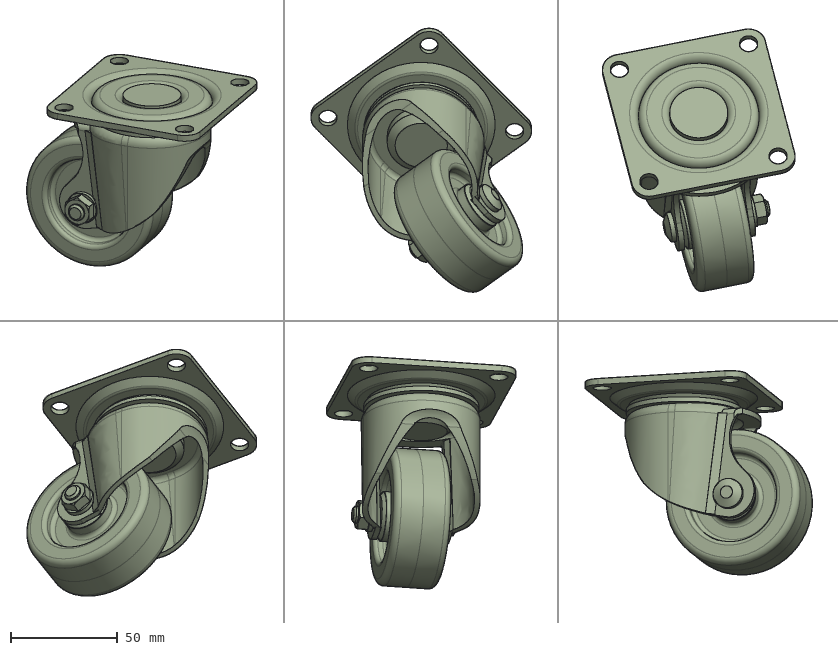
import cadquery as cq
import math

plate_side = 78.0
plate_thickness = 3.0
plate_corner_radius = 8.1
bolt_hole_pitch = 62.1
bolt_hole_diameter = 8.5
groove_outer_radius = 32.4
groove_radius = 28.3
groove_inner_radius = 24.4
hole_lip_radius = 3.6
dish_top_radius = 34.6
dish_bottom_radius = 30.5
dish_bottom = -6.2
dish_edge_radius = 2.0

pin_radius = 13.6
cone_top_radius = 25.6
cone_bottom_radius = 24.3
flange_radius = 27.0
flange_top = -8.3
flange_thickness = 2.2
pin_head_radius = 16.0
pin_head_shoulder = -18.0
pin_head_end_radius = 12.2
pin_head_end = -21.0

sheet = 2.7
drum_radius = 27.6
drum_edge_radius = 5.1
drum_front_x = -3.5
drum_front_foot_x = -0.3
drum_front_foot_depth = 23.9
drum_height = 53.2
channel_half_width = 18.3
channel_top = -12.9
channel_edge_radius = 3.1
blend_reach = 2.0
lip_underside = -16.0
lip_tip_x = -36.2
lip_end_x = -32.8
lip_side_x = -29.55
lip_trim_bottom = -18.7
boss_radius = 12.2
boss_rise = 1.2

axle_x = -27.0
axle_z = -54.5
wheel_radius = 32.5
wheel_width = 27.2
tread_edge_radius = 3.2
recess_radius = 21.4
recess_rim_radius = 2.1
recess_floor_fillet = 2.0
recess_depth = 6.4
hub_radius = 11.7
hub_chamfer = 2.0
hub_half_length = 15.3

bolt_radius = 4.0
bolt_end_chamfer = 1.1
bolt_end = 27.5
head_radius = 7.0
head_thickness = 2.3
dome_height = 2.1
dome_top_radius = 3.0
washer_radius = 7.5
washer_thickness = 2.1
nut_across_flats = 12.3
nut_height = 5.1
nut_bevel = 0.6

flange_bottom = flange_top - flange_thickness
roof_top = flange_bottom
roof_underside = roof_top - sheet
half_wheel = wheel_width / 2
boss_z = axle_z + boss_rise
washer_face = channel_half_width + washer_thickness
drum_foot = roof_top - drum_height
channel_length = drum_radius - axle_x


def turned(points):
    """Solid of revolution about the Z axis through (radius, z) points."""
    return cq.Workplane("XZ").polyline(points).close().revolve(360, (0, 0, 0), (0, 1, 0))


def rounded_edge_cut(wall_radius, size, top=0):
    """Ring that rounds an upper edge at wall_radius; the rounding reaches inward if size is negative."""
    flat_radius = wall_radius + size
    depth = abs(size)
    middle = (flat_radius - size * math.sin(math.pi / 4), top - depth * (1 - math.cos(math.pi / 4)))
    return (
        cq.Workplane("XZ").moveTo(flat_radius, top)
        .threePointArc(middle, (wall_radius, top - depth))
        .lineTo(wall_radius, top).close()
        .revolve(360, (0, 0, 0), (0, 1, 0))
    )


def onto_axle(body):
    """Move a body built around the Z axis onto the wheel axle, its +Z end toward -Y."""
    return body.rotate((0, 0, 0), (1, 0, 0), 90).translate((axle_x, 0, axle_z))


def make_plate():
    square = (
        cq.Workplane("XY").rect(plate_side, plate_side).extrude(-plate_thickness)
        .edges("|Z").fillet(plate_corner_radius)
    )
    dish = turned([
        (0, -plate_thickness),
        (dish_top_radius, -plate_thickness),
        (dish_bottom_radius, dish_bottom),
        (0, dish_bottom),
    ]).faces("<Z").edges().fillet(dish_edge_radius)
    bolt_holes = (
        cq.Workplane("XY").rect(bolt_hole_pitch, bolt_hole_pitch, forConstruction=True)
        .vertices().circle(bolt_hole_diameter / 2).extrude(-plate_thickness)
    )
    pin_hole = cq.Workplane("XY").circle(pin_radius).extrude(dish_bottom)
    return (
        square.union(dish).cut(bolt_holes).cut(pin_hole)
        .cut(rounded_edge_cut(groove_radius, groove_outer_radius - groove_radius))
        .cut(rounded_edge_cut(groove_radius, groove_inner_radius - groove_radius))
        .cut(rounded_edge_cut(pin_radius, hole_lip_radius))
    )


def make_swivel():
    return turned([
        (0, 0),
        (pin_radius, 0),
        (pin_radius, dish_bottom),
        (cone_top_radius, dish_bottom),
        (cone_bottom_radius, flange_top),
        (flange_radius, flange_top),
        (flange_radius, flange_bottom),
        (pin_radius, flange_bottom),
        (pin_radius, roof_underside),
        (pin_head_radius, roof_underside),
        (pin_head_radius, pin_head_shoulder),
        (pin_head_end_radius, pin_head_end),
        (0, pin_head_end),
    ])


def half_ellipse_x(front_x, depth, radius, y):
    """X on the drum's front curve at the given y."""
    return front_x - depth * math.sqrt(1 - (y / radius) ** 2)


def drum_section(height, front_x, depth, radius):
    """Closed outline: half circle at the back, half ellipse reaching depth forward of front_x."""
    back = cq.Edge.makeThreePointArc(
        cq.Vector(0, -radius, height), cq.Vector(radius, 0, height), cq.Vector(0, radius, height)
    )
    front = cq.Edge.makeEllipse(
        radius, depth, cq.Vector(front_x, 0, height), cq.Vector(0, 0, 1), cq.Vector(0, 1, 0), 0, 180
    )
    left, right = [
        cq.Edge.makeLine(cq.Vector(0, y, height), cq.Vector(front_x, y, height)) for y in (radius, -radius)
    ]
    return cq.Wire.assembleEdges([back, left, front, right])


def drum(inset):
    """Drum of the fork, its walls and roof moved inward by inset."""
    radius = drum_radius - inset
    body = cq.Solid.makeLoft([
        drum_section(roof_top - inset, drum_front_x, radius, radius),
        drum_section(drum_foot, drum_front_foot_x, drum_front_foot_depth - inset, radius),
    ], True)
    return cq.Workplane(body).faces(">Z").edges().fillet(drum_edge_radius - inset)


def channel(inset):
    """Inverted channel that carries the side plates, its faces moved inward by inset."""
    width = 2 * (channel_half_width - inset)
    return (
        cq.Workplane("XY", origin=(0, 0, channel_top - inset))
        .box(channel_length, width, drum_height, centered=(False, True, False))
        .translate((-channel_length, 0, -drum_height))
        .edges("|X and >Z").fillet(channel_edge_radius - inset)
    )


def blend(inset, side):
    """Wedge that softens the hollow corner between a side plate and the drum's front curve."""
    radius = drum_radius - inset
    plate_y = channel_half_width - inset

    def section(height, front_x, depth):
        corner_x = half_ellipse_x(front_x, depth, radius, plate_y)
        drum_x = corner_x + blend_reach
        drum_y = radius * math.sqrt(1 - ((front_x - drum_x) / depth) ** 2)
        return cq.Wire.makePolygon([
            cq.Vector(corner_x - blend_reach, side * plate_y, height),
            cq.Vector(drum_x, side * drum_y, height),
            cq.Vector(drum_x, side * (plate_y - sheet / 2), height),
            cq.Vector(corner_x - blend_reach, side * (plate_y - sheet / 2), height),
        ], close=True)

    return cq.Workplane(cq.Solid.makeLoft([
        section(roof_top - drum_edge_radius, drum_front_x, radius),
        section(drum_foot, drum_front_foot_x, drum_front_foot_depth - inset),
    ], True))


def fork_block(inset):
    """Solid envelope of the fork, before the side outline trims it."""
    return drum(inset).union(channel(inset)).union(blend(inset, 1)).union(blend(inset, -1))


def side_outline():
    """Prism with the fork's outline as seen along the axle."""
    neck = (-32.8, -41.7)
    boss_start_x = -35.5
    boss_start_z = boss_z + math.sqrt(boss_radius**2 - (boss_start_x - axle_x) ** 2)
    return (
        cq.Workplane("XZ")
        .moveTo(lip_tip_x, roof_top)
        .lineTo(lip_tip_x, lip_underside)
        .lineTo(-30.9, lip_underside)
        .threePointArc((-27.2, -27.4), neck)
        .lineTo(boss_start_x, boss_start_z)
        .threePointArc((axle_x - boss_radius, boss_z), (axle_x, boss_z - boss_radius))
        .lineTo(-17.3, drum_foot)
        .threePointArc((0.8, -57.7), (12.9, -48.1))
        .threePointArc((19.3, -37.4), (23.6, -26.6))
        .threePointArc((25.1, -22.9), (drum_radius, -19.9))
        .lineTo(drum_radius, roof_top)
        .close()
        .extrude(drum_radius, both=True)
    )


def lip_trim():
    """Material in front of the lip's bowed edge."""
    end_y = channel_half_width - channel_edge_radius
    front = lip_tip_x - 1
    return (
        cq.Workplane("XY", origin=(0, 0, roof_top))
        .moveTo(front, -channel_half_width).lineTo(lip_side_x, -channel_half_width)
        .lineTo(lip_end_x, -end_y)
        .threePointArc((lip_tip_x, 0), (lip_end_x, end_y))
        .lineTo(lip_side_x, channel_half_width).lineTo(front, channel_half_width)
        .close().extrude(lip_trim_bottom - roof_top)
    )


def make_fork():
    bolt_hole = onto_axle(cq.Workplane("XY").circle(bolt_radius).extrude(drum_radius, both=True))
    washer_seats = onto_axle(
        cq.Workplane("XY").circle(washer_radius).extrude(drum_radius, both=True)
        .cut(cq.Workplane("XY").circle(washer_radius).extrude(channel_half_width, both=True))
    )
    pin_hole = cq.Workplane("XY", origin=(0, 0, roof_top)).circle(pin_radius).extrude(-sheet)
    return (
        fork_block(0).cut(fork_block(sheet))
        .intersect(side_outline()).cut(lip_trim()).cut(bolt_hole).cut(washer_seats).cut(pin_hole)
    )


def make_wheel():
    recess_floor = half_wheel - recess_depth
    recess = (
        cq.Workplane("XY", origin=(0, 0, recess_floor))
        .circle(recess_radius).circle(hub_radius).extrude(recess_depth)
        .faces("<Z").edges().fillet(recess_floor_fillet)
        .union(rounded_edge_cut(recess_radius, recess_rim_radius, half_wheel))
    )
    hub = (
        cq.Workplane("XY").circle(hub_radius).extrude(hub_half_length, both=True)
        .faces("<Z or >Z").edges().chamfer(hub_chamfer)
    )
    blank = (
        cq.Workplane("XY").circle(wheel_radius).extrude(half_wheel, both=True)
        .faces("<Z or >Z").edges().fillet(tread_edge_radius)
    )
    bore = cq.Workplane("XY").circle(bolt_radius).extrude(hub_half_length, both=True)
    return onto_axle(
        blank.cut(recess).cut(recess.mirror("XY")).union(hub).cut(bore)
    )


def make_axle():
    head_face = -channel_half_width - head_thickness
    shaft = turned([
        (0, bolt_end),
        (bolt_radius - bolt_end_chamfer, bolt_end),
        (bolt_radius, bolt_end - bolt_end_chamfer),
        (bolt_radius, washer_face),
        (washer_radius, washer_face),
        (washer_radius, channel_half_width),
        (bolt_radius, channel_half_width),
        (bolt_radius, -channel_half_width),
        (head_radius, -channel_half_width),
        (head_radius, head_face),
        (dome_top_radius, head_face - dome_height),
        (0, head_face - dome_height),
    ])
    corner_radius = nut_across_flats / math.sqrt(3)
    nut_top = washer_face + nut_height
    bevel_cone = turned([
        (0, washer_face),
        (corner_radius, washer_face),
        (corner_radius, nut_top - nut_bevel),
        (nut_across_flats / 2, nut_top),
        (0, nut_top),
    ])
    nut = (
        cq.Workplane("XY", origin=(0, 0, washer_face))
        .polygon(6, 2 * corner_radius).extrude(nut_height)
        .rotate((0, 0, 0), (0, 0, 1), 30)
        .intersect(bevel_cone)
    )
    return onto_axle(shaft.union(nut))


plate = make_plate()
swivel = make_swivel()
fork = make_fork()
wheel = make_wheel()
axle = make_axle()

result = cq.Compound.makeCompound([plate.val(), swivel.val(), fork.val(), wheel.val(), axle.val()])